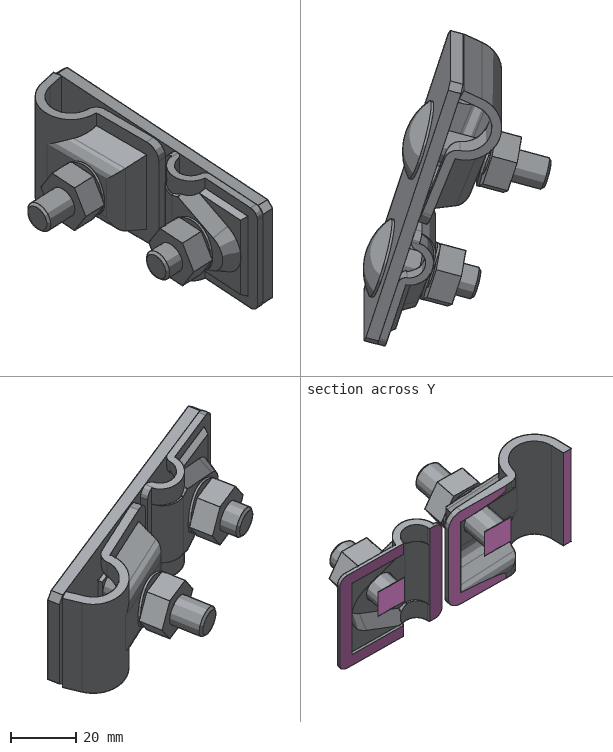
import cadquery as cq
import math


PLATE_LENGTH = 92.0
PLATE_WIDTH = 40.0
PLATE_THICKNESS = 4.05
PLATE_CHAMFER = 2.2

SHANK_DIAMETER = 10.0
TIP_CHAMFER = 0.8
NECK_SIDE = 10.5
NECK_LENGTH = 5.5
HEAD_DIAMETER = 24.75
HEAD_HEIGHT = 5.4
HEAD_RIM = 0.8
LARGE_BOLT_X = -16.0
LARGE_BOLT_REACH = 35.9
SMALL_BOLT_X = 25.8
SMALL_BOLT_REACH = 25.9
CLAMP_HOLE_DIAMETER = NECK_SIDE

NUT_ACROSS_FLATS = 17.0
NUT_HEIGHT = 8.0

WASHER_DIAMETER = 18.0
WASHER_HOLE_DIAMETER = NECK_SIDE
WASHER_THICKNESS = 0.8
WASHER_BEND_RADIUS = 35.0

LARGE_SHEET = 3.0
LARGE_TUBE_RADIUS = 10.95
LARGE_TUBE_X = -33.1
LARGE_TILT = 3.6
LARGE_BEND_RADIUS = 4.05
LARGE_FLANGE_FACE = -0.55
LARGE_FLANGE_END = 36.6
LARGE_CORNER_RADIUS = 5.0
LEG_SLOPE = 10.4
LARGE_BOSS_END = 31.65
LARGE_BOSS_HALF_WIDTH = 14.9
LARGE_BOSS_DRAFT = 19.0
LARGE_BOSS_ROUNDING = 5.0

SMALL_SHEET = 2.5
SMALL_TUBE_RADIUS = 7.45
SMALL_TUBE_X = 15.8
SMALL_TUBE_AXIS_Y = -1.4
SMALL_LEFT_END = -10.0
SMALL_RIGHT_END = PLATE_LENGTH / 2 - SMALL_TUBE_X
SMALL_CORNER_RADIUS = 3.0
SMALL_DRAFT = 30.0
PAD_END = 26.0
PAD_HALF_WIDTH = 16.0
PAD_HEIGHT = 2.0
BAND_HALF_WIDTH = 12.8
BAND_RISE = 0.6
NOSE_X = 15.0
NOSE_RADIUS = 7.2
NOSE_FLARE = 25.0
SHOULDER_X = 2.6


def across_width(outline, half_width=PLATE_WIDTH / 2):
    """Extrude an XY outline symmetrically along Z."""
    return outline.extrude(half_width, both=True)


def tube(radius, axis_y=0.0, half_width=PLATE_WIDTH / 2):
    """Round bar along Z, centred on X = 0."""
    return across_width(cq.Workplane("XY").center(0, axis_y).circle(radius), half_width)


def rod(x, radius, y_from, y_to):
    """Round bar along Y, from y_from towards -Y down to y_to."""
    plane = cq.Workplane("XZ", origin=(x, y_from, 0))
    return plane.circle(radius).extrude(y_from - y_to)


def polar(radius, degrees):
    """Point on a circle about the origin."""
    return radius * math.cos(math.radians(degrees)), radius * math.sin(math.radians(degrees))


def shifted(point, dx, dy):
    return point[0] + dx, point[1] + dy


def bend_points(bore_radius, flange_back, bend_radius):
    """Start, middle and end of the bend that joins a flange's back to a bore about the origin."""
    centre_y = flange_back - bend_radius
    centre_x = math.sqrt((bore_radius + bend_radius) ** 2 - centre_y**2)
    join_angle = math.degrees(math.atan2(centre_y, centre_x))
    middle = polar(bend_radius, (90 + 180 + join_angle) / 2)
    return (centre_x, flange_back), shifted(middle, centre_x, centre_y), polar(bore_radius, join_angle)


def neck(x):
    """Square neck under a bolt head, reaching through the plate."""
    plane = cq.Workplane("XZ", origin=(x, PLATE_THICKNESS, 0))
    return plane.rect(NECK_SIDE, NECK_SIDE).extrude(NECK_LENGTH)


def make_plate():
    plane = cq.Workplane("XZ", origin=(0, PLATE_THICKNESS, 0))
    plate = plane.rect(PLATE_LENGTH, PLATE_WIDTH).extrude(PLATE_THICKNESS)
    plate = plate.edges("|Y").chamfer(PLATE_CHAMFER)
    for x in (LARGE_BOLT_X, SMALL_BOLT_X):
        plate = plate.cut(neck(x))
    return plate


def make_bolt(x, reach):
    """Carriage bolt: domed head on the plate's back, square neck and chamfered shank."""
    rim_y = PLATE_THICKNESS + HEAD_RIM
    head_radius = HEAD_DIAMETER / 2
    dome_height = HEAD_HEIGHT - HEAD_RIM
    dome_radius = (head_radius**2 + dome_height**2) / (2 * dome_height)
    half_sweep = math.asin(head_radius / dome_radius) / 2
    dome_middle = (
        dome_radius * math.sin(half_sweep),
        rim_y + dome_height - dome_radius * (1 - math.cos(half_sweep)),
    )
    head = (
        cq.Workplane("XY")
        .moveTo(0, PLATE_THICKNESS)
        .lineTo(head_radius, PLATE_THICKNESS)
        .lineTo(head_radius, rim_y)
        .threePointArc(dome_middle, (0, PLATE_THICKNESS + HEAD_HEIGHT))
        .close()
        .revolve(360, (0, 0, 0), (0, 1, 0))
        .translate((x, 0, 0))
    )
    shank = rod(x, SHANK_DIAMETER / 2, PLATE_THICKNESS, -reach)
    shank = shank.faces("<Y").chamfer(TIP_CHAMFER)
    return head.union(neck(x)).union(shank)


def washer_height():
    """Distance from the washer's crown to the edges that rest on the nut."""
    inner_radius = WASHER_BEND_RADIUS - WASHER_THICKNESS
    return WASHER_BEND_RADIUS - math.sqrt(inner_radius**2 - (WASHER_DIAMETER / 2) ** 2)


def make_washer(x, crown_y):
    """Round washer bent about Z, with its crown towards the clamp."""
    axis_y = crown_y - WASHER_BEND_RADIUS
    shell = tube(WASHER_BEND_RADIUS, axis_y).cut(tube(WASHER_BEND_RADIUS - WASHER_THICKNESS, axis_y))
    shell = shell.translate((x, 0, 0))
    disc = rod(x, WASHER_DIAMETER / 2, crown_y, crown_y - washer_height())
    hole = rod(x, WASHER_HOLE_DIAMETER / 2, crown_y, crown_y - washer_height())
    return shell.intersect(disc.cut(hole))


def make_nut(x, top_y):
    across_corners = NUT_ACROSS_FLATS / math.cos(math.radians(30))
    plane = cq.Workplane("XZ", origin=(x, top_y, 0))
    return plane.polygon(6, across_corners).circle(SHANK_DIAMETER / 2).extrude(NUT_HEIGHT)


LARGE_BORE_RADIUS = LARGE_TUBE_RADIUS - LARGE_SHEET
LARGE_FLANGE_BACK = LARGE_FLANGE_FACE + LARGE_SHEET
TILT = math.radians(LARGE_TILT)
BOSS_DRAFT = math.radians(LARGE_BOSS_DRAFT)
LARGE_TUBE_AXIS_Y = -(LARGE_FLANGE_END * math.sin(TILT) + LARGE_FLANGE_BACK * math.cos(TILT))


def large_sheet():
    """Leg, half tube and flange as one bent sheet; the bend at the flange is sharp outside."""
    lean = LEG_SLOPE - LARGE_TILT
    slope = math.radians(LEG_SLOPE)
    inner_tangent_y = LARGE_TUBE_AXIS_Y - LARGE_BORE_RADIUS * math.sin(slope)
    leg_length = -inner_tangent_y / math.cos(slope)
    leg_x, leg_y = polar(leg_length, 90 + lean)
    outer_tangent = polar(LARGE_TUBE_RADIUS, 180 + lean)
    inner_tangent = polar(LARGE_BORE_RADIUS, 180 + lean)

    corner_angle = math.degrees(math.asin(LARGE_FLANGE_FACE / LARGE_TUBE_RADIUS))
    corner = polar(LARGE_TUBE_RADIUS, corner_angle)
    bend_start, bend_middle, bend_end = bend_points(
        LARGE_BORE_RADIUS, LARGE_FLANGE_BACK, LARGE_BEND_RADIUS
    )
    return across_width(
        cq.Workplane("XY")
        .moveTo(*shifted(outer_tangent, leg_x, leg_y))
        .lineTo(*outer_tangent)
        .threePointArc((0, -LARGE_TUBE_RADIUS), corner)
        .lineTo(LARGE_FLANGE_END, LARGE_FLANGE_FACE)
        .lineTo(LARGE_FLANGE_END, LARGE_FLANGE_BACK)
        .lineTo(*bend_start)
        .threePointArc(bend_middle, bend_end)
        .threePointArc((0, -LARGE_BORE_RADIUS), inner_tangent)
        .lineTo(*shifted(inner_tangent, leg_x, leg_y))
        .close()
    )


def boss_profile(plane, foot):
    """Half outline of the boss from its middle to its foot: drafted side with a rounded top."""
    top = -LARGE_TUBE_RADIUS
    centre_y = top + LARGE_BOSS_ROUNDING
    start_y = centre_y - LARGE_BOSS_ROUNDING * math.sin(BOSS_DRAFT)
    start = foot - (LARGE_FLANGE_FACE - start_y) * math.tan(BOSS_DRAFT)
    centre = start - LARGE_BOSS_ROUNDING * math.cos(BOSS_DRAFT)
    middle = polar(LARGE_BOSS_ROUNDING, -(90 + LARGE_BOSS_DRAFT) / 2)
    return (
        cq.Workplane(plane)
        .moveTo(0, LARGE_FLANGE_FACE)
        .lineTo(foot, LARGE_FLANGE_FACE)
        .lineTo(start, start_y)
        .threePointArc(shifted(middle, centre, centre_y), (centre, top))
        .lineTo(0, top)
        .close()
    )


def rim_profile(plane, foot):
    """Half outline of the hollow's mouth: its side bends outwards into the flange's back."""
    centre_x = foot + LARGE_BEND_RADIUS * math.tan((math.pi / 2 - BOSS_DRAFT) / 2)
    centre_y = LARGE_FLANGE_BACK - LARGE_BEND_RADIUS
    middle = shifted(polar(LARGE_BEND_RADIUS, (90 + 180 - LARGE_BOSS_DRAFT) / 2), centre_x, centre_y)
    end = shifted(polar(LARGE_BEND_RADIUS, 180 - LARGE_BOSS_DRAFT), centre_x, centre_y)
    return (
        cq.Workplane(plane)
        .moveTo(0, LARGE_FLANGE_BACK)
        .lineTo(centre_x, LARGE_FLANGE_BACK)
        .threePointArc(middle, end)
        .lineTo(0, end[1])
        .close()
    )


def mitred_block(profile):
    """Block from the tube's middle along the flange: a long and a cross profile, mitred."""
    long_block = across_width(profile("XY", LARGE_BOSS_END))
    half_block = profile("ZY", LARGE_BOSS_HALF_WIDTH).extrude(-LARGE_FLANGE_END)
    return long_block.intersect(half_block.union(half_block.mirror("XY")))


def make_large_clamp():
    boss = mitred_block(boss_profile)
    clamp = large_sheet().union(boss.cut(tube(LARGE_TUBE_RADIUS - LARGE_SHEET / 2)))
    clamp = clamp.cut(boss.translate((0, LARGE_SHEET, 0))).cut(mitred_block(rim_profile))
    clamp = clamp.edges("|Y and >X").fillet(LARGE_CORNER_RADIUS)
    clamp = clamp.rotate((0, 0, 0), (0, 0, 1), LARGE_TILT)
    clamp = clamp.translate((LARGE_TUBE_X, LARGE_TUBE_AXIS_Y, 0))
    return clamp.cut(rod(LARGE_BOLT_X, CLAMP_HOLE_DIAMETER / 2, 0, -LARGE_BOLT_REACH))


def large_washer_crown():
    """Crown level at which the washer just touches the tilted boss face."""
    face_y = (
        LARGE_TUBE_AXIS_Y
        + (LARGE_BOLT_X - LARGE_TUBE_X) * math.tan(TILT)
        - LARGE_TUBE_RADIUS / math.cos(TILT)
    )
    return face_y - WASHER_BEND_RADIUS * (1 / math.cos(TILT) - 1)


SMALL_BORE_RADIUS = SMALL_TUBE_RADIUS - SMALL_SHEET
BAND_AXIS_Y = SMALL_TUBE_AXIS_Y - BAND_RISE
SMALL_BOSS_TOP = BAND_AXIS_Y - SMALL_TUBE_RADIUS
PAD_TOP = -SMALL_SHEET - PAD_HEIGHT


def small_sheet():
    """Half tube between two flanges that lie on the plate; both bends are sharp outside."""
    flange_back = -SMALL_TUBE_AXIS_Y
    flange_face = flange_back - SMALL_SHEET
    corner_x = math.sqrt(SMALL_TUBE_RADIUS**2 - flange_face**2)
    bend = bend_points(SMALL_BORE_RADIUS, flange_back, SMALL_SHEET)
    bend_start, bend_middle, bend_end = bend
    left_start, left_middle, left_end = [(-x, y) for x, y in bend]
    return across_width(
        cq.Workplane("XY", origin=(0, SMALL_TUBE_AXIS_Y, 0))
        .moveTo(SMALL_LEFT_END, flange_back)
        .lineTo(SMALL_LEFT_END, flange_face)
        .lineTo(-corner_x, flange_face)
        .threePointArc((0, -SMALL_TUBE_RADIUS), (corner_x, flange_face))
        .lineTo(SMALL_RIGHT_END, flange_face)
        .lineTo(SMALL_RIGHT_END, flange_back)
        .lineTo(*bend_start)
        .threePointArc(bend_middle, bend_end)
        .threePointArc((0, -SMALL_BORE_RADIUS), left_end)
        .threePointArc(left_middle, left_start)
        .close()
    )


def small_pad():
    """Shallow raised rectangle on the right flange, with drafted sides."""
    plane = cq.Workplane("XZ", origin=(PAD_END / 2, -SMALL_SHEET, 0))
    return plane.rect(PAD_END, 2 * PAD_HALF_WIDTH).extrude(PAD_HEIGHT, taper=SMALL_DRAFT)


def small_boss():
    """Tapering boss with a round nose; its sides widen towards the pad."""
    sine, cosine = polar(1, 90 - NOSE_FLARE)
    tangent_x = NOSE_X + NOSE_RADIUS * sine
    tangent_z = NOSE_RADIUS * cosine
    shoulder_z = tangent_z + (tangent_x - SHOULDER_X) * math.tan(math.radians(NOSE_FLARE))
    plane = cq.Workplane("ZX", origin=(0, SMALL_BOSS_TOP, 0))
    return (
        plane.moveTo(-BAND_HALF_WIDTH, 0)
        .lineTo(-shoulder_z, SHOULDER_X)
        .lineTo(-tangent_z, tangent_x)
        .threePointArc((0, NOSE_X + NOSE_RADIUS), (tangent_z, tangent_x))
        .lineTo(shoulder_z, SHOULDER_X)
        .lineTo(BAND_HALF_WIDTH, 0)
        .close()
        .extrude(PAD_TOP - SMALL_BOSS_TOP, taper=-SMALL_DRAFT)
    )


def small_band():
    """Raised band around the middle of the tube, level with the boss and below the flanges."""
    band = tube(SMALL_TUBE_RADIUS, BAND_AXIS_Y, BAND_HALF_WIDTH)
    plane = cq.Workplane("XZ", origin=(0, -SMALL_SHEET, 0))
    block = plane.rect(2 * SMALL_TUBE_RADIUS, 2 * BAND_HALF_WIDTH).extrude(-SMALL_SHEET - SMALL_BOSS_TOP)
    return band.intersect(block)


def small_plan():
    """Block with the rounded corners of the small clamp's flanges."""
    plane = cq.Workplane("XZ", origin=((SMALL_LEFT_END + SMALL_RIGHT_END) / 2, 0, 0))
    block = plane.rect(SMALL_RIGHT_END - SMALL_LEFT_END, PLATE_WIDTH).extrude(-SMALL_BOSS_TOP)
    return block.edges("|Y").fillet(SMALL_CORNER_RADIUS)


def make_small_clamp():
    pad = small_pad()
    boss = small_boss()
    clamp = small_sheet().union(pad).union(boss).union(small_band())
    clamp = clamp.cut(tube(SMALL_BORE_RADIUS, SMALL_TUBE_AXIS_Y))
    clamp = clamp.cut(tube(SMALL_BORE_RADIUS, BAND_AXIS_Y, BAND_HALF_WIDTH))
    for raised in (pad, boss):
        clamp = clamp.cut(raised.translate((0, SMALL_SHEET, 0)))
    clamp = clamp.intersect(small_plan()).translate((SMALL_TUBE_X, 0, 0))
    return clamp.cut(rod(SMALL_BOLT_X, CLAMP_HOLE_DIAMETER / 2, 0, -SMALL_BOLT_REACH))


plate = make_plate()
large_clamp = make_large_clamp()
small_clamp = make_small_clamp()

fasteners = []
for bolt_x, bolt_reach, washer_crown in (
    (LARGE_BOLT_X, LARGE_BOLT_REACH, large_washer_crown()),
    (SMALL_BOLT_X, SMALL_BOLT_REACH, SMALL_BOSS_TOP),
):
    fasteners.append(make_bolt(bolt_x, bolt_reach).val())
    fasteners.append(make_washer(bolt_x, washer_crown).val())
    fasteners.append(make_nut(bolt_x, washer_crown - washer_height()).val())

result = cq.Compound.makeCompound(
    [plate.val(), large_clamp.val(), small_clamp.val(), *fasteners]
)